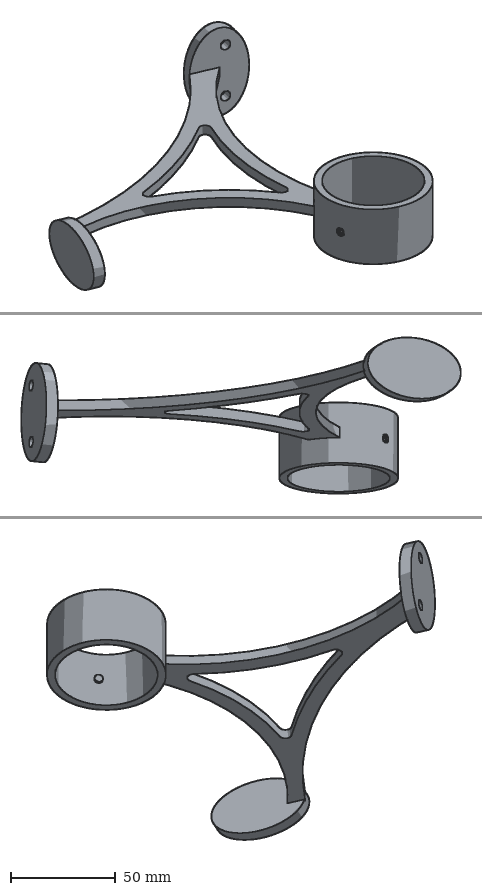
import cadquery as cq
import math


ring_outer_diameter = 57.0
ring_bore_diameter = 49.0
ring_height = 30.0
ring_outer_radius = ring_outer_diameter / 2

overall_x = 188.5
overall_y = 178.5

plate_thickness = 6.0
plate_long = 48.0
side_plate_width = 32.0
side_plate_centre_y = -6.0
front_plate_width = ring_height
front_plate_centre_x = -22.2
side_plate_outer_x = ring_outer_radius - overall_x
front_plate_outer_y = ring_outer_radius - overall_y

plate_hole_diameter = 5.0
plate_hole_z = 14.0
plate_hole_offset_y = 3.4

arm_thickness = 5.0
arm_rail_width = 8.0
arm_window_corner_radius = 3.0
arm_root_depth = 3.8
arm_arcs = [
    (-78.6, 99.0, 129.1),
    (-221.3, -189.8, 181.0),
    (53.7, -103.1, 99.7),
]

screw_diameter = 4.1
screw_length = 4.0
screw_tip_protrusion = 1.1
screw_direction_angle = -60.0
screw_socket_across_flats = 2.0
screw_socket_depth = 2.0


def disc(x, y, radius, height):
    """Upright cylinder centred on Z = 0."""
    return cq.Workplane("XY").center(x, y).circle(radius).extrude(height / 2, both=True)


def concave_triangle(rail_width):
    """Web between the two plates and the ring, outside the arcs grown by rail_width."""
    left = side_plate_outer_x + plate_thickness - arm_root_depth
    bottom = front_plate_outer_y + plate_thickness - arm_root_depth
    web = cq.Workplane("XY").box(-left, -bottom, arm_thickness, centered=(False, False, True))
    web = web.translate((left, bottom, 0))
    for x, y, radius in arm_arcs:
        web = web.cut(disc(x, y, radius + rail_width, arm_thickness))
    return web


def make_arm():
    """Arm with a window that leaves a rail of constant width along each arc."""
    window = concave_triangle(arm_rail_width).edges("|Z").fillet(arm_window_corner_radius)
    return concave_triangle(0).cut(window)


def make_side_plate():
    """Plate facing -X, with two screw holes."""
    plate = (
        cq.Workplane("YZ", origin=(side_plate_outer_x, side_plate_centre_y, 0))
        .ellipse(side_plate_width / 2, plate_long / 2)
        .extrude(plate_thickness)
    )
    hole_y = side_plate_centre_y + plate_hole_offset_y
    holes = (
        cq.Workplane("YZ", origin=(side_plate_outer_x, hole_y, 0))
        .pushPoints([(0, -plate_hole_z), (0, plate_hole_z)])
        .circle(plate_hole_diameter / 2)
        .extrude(plate_thickness)
    )
    return plate.cut(holes)


def make_front_plate():
    """Plain plate facing -Y."""
    return (
        cq.Workplane("XZ", origin=(front_plate_centre_x, front_plate_outer_y, 0))
        .ellipse(plate_long / 2, front_plate_width / 2)
        .extrude(-plate_thickness)
    )


def screw_workplane(radius):
    """Workplane on the set screw axis at the given distance from the ring axis, facing outward."""
    angle = math.radians(screw_direction_angle)
    outward = cq.Vector(math.cos(angle), math.sin(angle), 0)
    return cq.Workplane(cq.Plane(origin=outward * radius, xDir=(0, 0, 1), normal=outward))


def make_bracket():
    """Plates, arm and ring in one piece, with the bore and the set screw hole cut through."""
    bracket = make_arm().union(make_side_plate()).union(make_front_plate())
    bracket = bracket.union(disc(0, 0, ring_outer_radius, ring_height))
    bracket = bracket.cut(disc(0, 0, ring_bore_diameter / 2, ring_height))
    screw_hole = screw_workplane(0).circle(screw_diameter / 2).extrude(ring_outer_radius)
    return bracket.cut(screw_hole)


def make_set_screw():
    """Headless screw whose tip stands into the bore, with a hexagon socket in its outer end."""
    tip_radius = ring_bore_diameter / 2 - screw_tip_protrusion
    screw = screw_workplane(tip_radius).circle(screw_diameter / 2).extrude(screw_length)
    socket_across_corners = screw_socket_across_flats / math.cos(math.pi / 6)
    socket = (
        screw_workplane(tip_radius + screw_length)
        .polygon(6, socket_across_corners)
        .extrude(-screw_socket_depth)
    )
    return screw.cut(socket)


bracket = make_bracket()
set_screw = make_set_screw()

result = cq.Compound.makeCompound([bracket.solids().val(), set_screw.solids().val()])